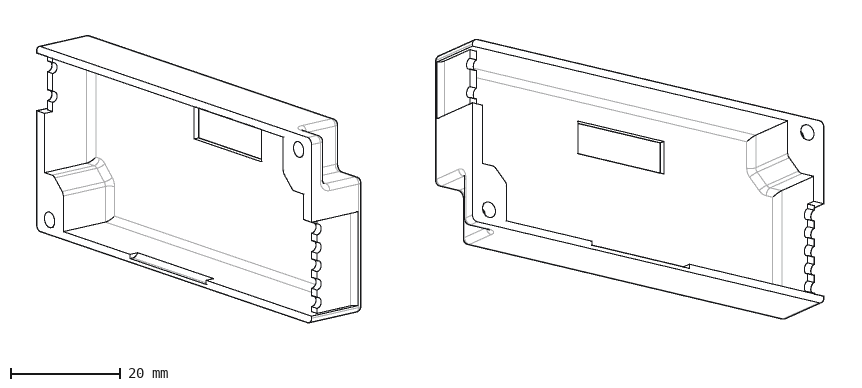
import cadquery as cq
import math

length = 79.3
depth = 12.2
height = 35.2
edge_radius = 1.1

wall = 1.5
back_wall = 1.1
end_wall = 2.3
floor_fillet = 1.2

touching = 7.93e-07

ear_thickness = 3.2
left_ear_width = 6.3
left_ear_height = 10.0
right_ear_width = 6.75
right_ear_height = 9.5
ear_side_wall = 1.4
ear_chamfer = 2.8
screw_diameter = 2.9
screw_x_inset = 3.7
screw_z_inset = 2.85

window_x = 31.9
window_z = 22.5
window_length = 19.35
window_height = 6.3

recess_depth = 0.8
recess_floor_end = 9.8
lip_drop = 1.9
cable_diameter = 2.1
left_entry_bottom = 22.75
left_cable_first_z = 25.5
left_cable_pitch = 5.5
left_cable_count = 2
right_entry_top = 19.35
right_cable_first_z = 3.5
right_cable_pitch = 3.5
right_cable_count = 5

latch_x = 27.0
latch_length = 22.0
latch_depth = 0.8
latch_flat = 0.6


def block(x0, x1, y0, y1, z0, z1):
    """Axis-aligned box given by its limits."""
    return cq.Workplane("XY").box(x1 - x0, y1 - y0, z1 - z0, centered=False).translate((x0, y0, z0))


def ear_cut(corner_x, corner_z, outward):
    """Tool that clears the space behind an ear, rounded along the three edges of its inner corner.

    outward is the direction of the case corner along both X and Z.
    """
    far_x = corner_x + outward * height
    far_z = corner_z + outward * height
    tool = block(
        min(corner_x, far_x), max(corner_x, far_x),
        ear_thickness, 2 * depth,
        min(corner_z, far_z), max(corner_z, far_z),
    )
    corner = cq.Vertex.makeVertex(corner_x, ear_thickness, corner_z)
    corner_edges = [edge for edge in tool.edges().vals() if edge.distance(corner) < touching]
    return tool.newObject(corner_edges).fillet(edge_radius)


def outer_body():
    """Block with both ear corners cut back and every outside edge except the front rim rounded."""
    body = block(0, length, 0, depth, 0, height)
    body = body.cut(ear_cut(left_ear_width, left_ear_height, -1))
    body = body.cut(ear_cut(length - right_ear_width, height - right_ear_height, 1))
    return round_outside(body)


def round_outside(body):
    """Round the edges that lie on the five closed sides of the block."""
    sides = ["<X", ">X", "<Z", ">Z", ">Y"]
    rims = body.faces(sides[0])
    for side in sides[1:]:
        rims = rims.add(body.faces(side))
    front = body.faces("<Y").edges().vals()
    edges = []
    for edge in rims.edges().vals():
        if not any(edge.isSame(other) for other in front + edges):
            edges.append(edge)
    return body.newObject(edges).fillet(edge_radius)


def cavity():
    """Inside space with a stepped, chamfered corner beside each ear and a rounded floor."""
    left_step_x = left_ear_width + ear_side_wall
    left_step_z = left_ear_height + wall
    right_step_x = length - right_ear_width - ear_side_wall
    right_step_z = height - right_ear_height - wall
    right_x = length - end_wall
    top_z = height - wall
    right_chamfer = [
        (right_step_x + ear_chamfer, right_step_z),
        (right_step_x, right_step_z + ear_chamfer),
    ]
    left_chamfer = [
        (left_step_x - ear_chamfer, left_step_z),
        (left_step_x, left_step_z - ear_chamfer),
    ]
    outline = [
        (left_step_x, wall),
        (right_x, wall),
        (right_x, right_step_z),
        *right_chamfer,
        (right_step_x, top_z),
        (end_wall, top_z),
        (end_wall, left_step_z),
        *left_chamfer,
    ]
    floor_y = depth - back_wall
    space = cq.Workplane("XZ", origin=(0, floor_y, 0)).polyline(outline).close().extrude(floor_y)
    for x, z in right_chamfer + left_chamfer:
        space = space.edges(cq.selectors.NearestToPointSelector((x, floor_y / 2, z))).fillet(edge_radius)
    return space.faces(">Y").edges().fillet(floor_fillet)


def floor_arc_point(rise, share):
    """Run and rise along an arc that leaves a floor tangentially and climbs to the given rise."""
    angle = share * math.acos(1 - rise / floor_fillet)
    return floor_fillet * math.sin(angle), floor_fillet * (1 - math.cos(angle))


def cable_entry(outer_x, inward, z0, z1, cable_zs):
    """Tool for one end wall; inward is +1 at the left end and -1 at the right end."""
    recess_x = outer_x + inward * recess_depth
    inner_x = outer_x + inward * end_wall
    mid_run, mid_rise = floor_arc_point(recess_depth, 0.5)
    end_run, end_rise = floor_arc_point(recess_depth, 1.0)
    recess = (
        cq.Workplane("XY", origin=(0, 0, z0))
        .moveTo(outer_x, 0)
        .lineTo(recess_x, 0)
        .lineTo(recess_x, recess_floor_end)
        .threePointArc(
            (recess_x - inward * mid_rise, recess_floor_end + mid_run),
            (recess_x - inward * end_rise, recess_floor_end + end_run),
        )
        .close()
        .extrude(z1 - z0)
    )
    lip = block(min(outer_x, inner_x), max(outer_x, inner_x), 0, lip_drop, z0, z1)
    tool = recess.union(lip)
    for z in cable_zs:
        cable = (
            cq.Workplane("YZ", origin=(outer_x, lip_drop, z))
            .circle(cable_diameter / 2)
            .extrude(inward * end_wall)
        )
        tool = tool.union(cable)
    return tool


def latch_groove():
    """Groove open at the front rim of the lower wall, with a rounded rear end."""
    latch_z = wall - latch_depth
    mid_run, mid_rise = floor_arc_point(latch_depth, 0.5)
    end_run, end_rise = floor_arc_point(latch_depth, 1.0)
    return (
        cq.Workplane("YZ", origin=(latch_x, 0, 0))
        .moveTo(0, wall)
        .lineTo(0, latch_z)
        .lineTo(latch_flat, latch_z)
        .threePointArc((latch_flat + mid_run, latch_z + mid_rise), (latch_flat + end_run, latch_z + end_rise))
        .close()
        .extrude(latch_length)
    )


def screw_hole(x, z):
    """Through hole along Y in an ear."""
    hole_depth = ear_thickness + edge_radius
    return cq.Workplane("XZ", origin=(x, hole_depth, z)).circle(screw_diameter / 2).extrude(hole_depth)


window = block(window_x, window_x + window_length, 0, depth, window_z, window_z + window_height)
left_cables = [left_cable_first_z + i * left_cable_pitch for i in range(left_cable_count)]
right_cables = [right_cable_first_z + i * right_cable_pitch for i in range(right_cable_count)]

result = (
    outer_body()
    .cut(cavity())
    .cut(window)
    .cut(cable_entry(0, 1, left_entry_bottom, height - wall, left_cables))
    .cut(cable_entry(length, -1, wall, right_entry_top, right_cables))
    .cut(latch_groove())
    .cut(screw_hole(screw_x_inset, screw_z_inset))
    .cut(screw_hole(length - screw_x_inset, height - screw_z_inset))
)